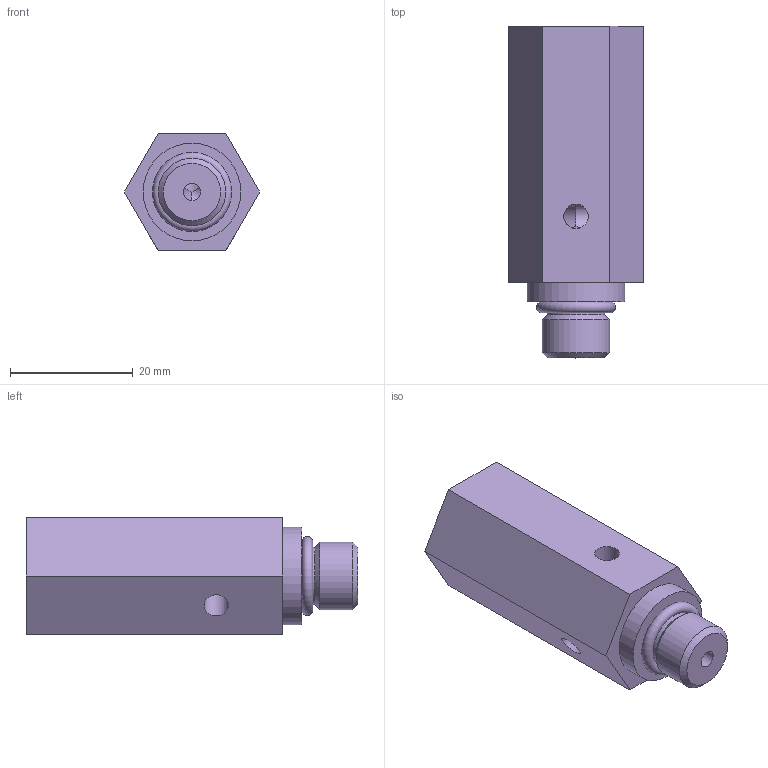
import cadquery as cq

ACROSS_FLATS = 19.05
HEX_LENGTH = 41.7

COLLAR_DIAMETER = 15.875
COLLAR_LENGTH = 3.15

STUD_DIAMETER = 11.0
STUD_LENGTH = 9.13
STUD_CHAMFER = 0.85
NECK_LENGTH = 2.1

O_RING_SECTION = 1.78

AXIAL_BORE_DIAMETER = 2.78
CROSS_HOLE_DIAMETER = 3.97
CROSS_HOLE_SETBACK = 10.75
CROSS_HOLE_COUNT = 3

HEX_CIRCUMSCRIBED_DIAMETER = ACROSS_FLATS * 2 / 3 ** 0.5
NECK_RADIUS = STUD_DIAMETER / 2 - STUD_CHAMFER
COLLAR_FACE_Y = -COLLAR_LENGTH
NECK_END_Y = COLLAR_FACE_Y - NECK_LENGTH
STUD_TIP_Y = COLLAR_FACE_Y - STUD_LENGTH
O_RING_RADIUS = O_RING_SECTION / 2


def make_hexagon():
    return cq.Workplane("XZ").polygon(6, HEX_CIRCUMSCRIBED_DIAMETER).extrude(-HEX_LENGTH)


def make_collar_and_stud():
    """Collar, narrow neck and chamfered stud, turned about the Y axis."""
    stud_radius = STUD_DIAMETER / 2
    profile = (
        cq.Workplane("XY")
        .moveTo(0, 0)
        .lineTo(COLLAR_DIAMETER / 2, 0)
        .lineTo(COLLAR_DIAMETER / 2, COLLAR_FACE_Y)
        .lineTo(NECK_RADIUS, COLLAR_FACE_Y)
        .lineTo(NECK_RADIUS, NECK_END_Y)
        .lineTo(stud_radius, NECK_END_Y - STUD_CHAMFER)
        .lineTo(stud_radius, STUD_TIP_Y + STUD_CHAMFER)
        .lineTo(stud_radius - STUD_CHAMFER, STUD_TIP_Y)
        .lineTo(0, STUD_TIP_Y)
        .close()
    )
    return profile.revolve(360, (0, 0, 0), (0, 1, 0))


def make_axial_bore():
    """Bore from the stud tip to the point where the cross holes meet."""
    return (
        cq.Workplane("XZ", origin=(0, STUD_TIP_Y, 0))
        .circle(AXIAL_BORE_DIAMETER / 2)
        .extrude(-(CROSS_HOLE_SETBACK - STUD_TIP_Y))
    )


def make_cross_hole(angle):
    """Radial hole from the axis out through one flat; angle 0 points up."""
    return (
        cq.Workplane("XY", origin=(0, CROSS_HOLE_SETBACK, 0))
        .circle(CROSS_HOLE_DIAMETER / 2)
        .extrude(ACROSS_FLATS)
        .rotate((0, 0, 0), (0, 1, 0), angle)
    )


def make_fitting():
    fitting = make_hexagon().union(make_collar_and_stud()).cut(make_axial_bore())
    for index in range(CROSS_HOLE_COUNT):
        fitting = fitting.cut(make_cross_hole(index * 360 / CROSS_HOLE_COUNT))
    return fitting


def make_o_ring():
    """Ring touching both the neck and the collar face."""
    section_center = (NECK_RADIUS + O_RING_RADIUS, COLLAR_FACE_Y - O_RING_RADIUS)
    return (
        cq.Workplane("XY")
        .moveTo(*section_center)
        .circle(O_RING_RADIUS)
        .revolve(360, (0, 0, 0), (0, 1, 0))
    )


fitting = make_fitting()
o_ring = make_o_ring()

result = cq.Compound.makeCompound([fitting.val(), o_ring.val()])